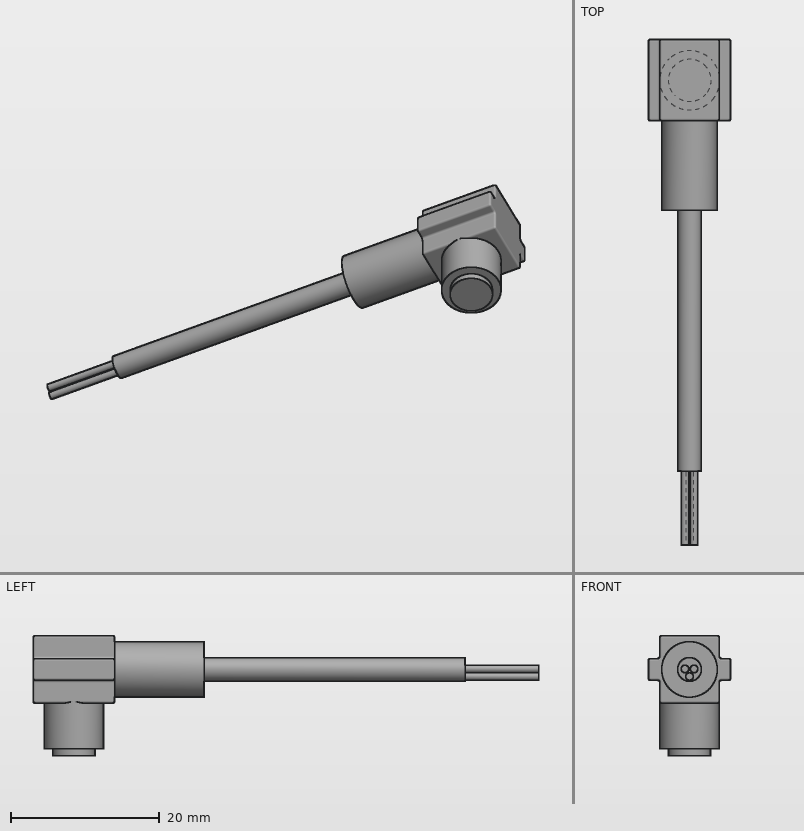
import cadquery as cq

total_length = 68.0
total_height = 16.2

body_width = 8.0
body_length = 10.95
body_height = 9.1
wing_span = 11.1
wing_height = 2.9
edge_radius = 0.3

socket_diameter = body_width
spigot_diameter = 5.7
spigot_length = 0.95

sleeve_diameter = 7.5
sleeve_end = 23.0
cable_diameter = 3.2
cable_end = 58.1
wire_diameter = 1.0
wire_side_offset = 0.6
wire_rise = 0.1
wire_drop = 0.95

body_middle = -body_length / 2
part_bottom = body_height / 2 - total_height
socket_bottom = part_bottom + spigot_length


def make_housing():
    """Block with side wings, rounded along every edge and wing root."""
    block = cq.Workplane("XY").box(body_width, body_length, body_height)
    wings = cq.Workplane("XY").box(wing_span, body_length, wing_height)
    housing = block.union(wings)
    housing = housing.edges("|Y").fillet(edge_radius)
    housing = housing.faces("<Y or >Y").edges().fillet(edge_radius)
    return housing.translate((0, body_middle, 0))


def rod_along_y(diameter, start, end, x=0, z=0):
    """Round rod between two distances from the back of the housing."""
    rod = cq.Workplane("XZ", origin=(x, -start, z)).circle(diameter / 2)
    return rod.extrude(end - start)


def rod_to_middle(diameter, bottom):
    """Upright round rod from the given bottom to the middle of the housing."""
    rod = cq.Workplane("XY", origin=(0, body_middle, bottom)).circle(diameter / 2)
    return rod.extrude(-bottom)


result = make_housing()

result = result.union(rod_to_middle(socket_diameter, socket_bottom))
result = result.union(rod_to_middle(spigot_diameter, part_bottom))

result = result.union(rod_along_y(sleeve_diameter, body_length / 2, sleeve_end))
result = result.union(rod_along_y(cable_diameter, body_length, cable_end))

wire_places = [(-wire_side_offset, wire_rise), (wire_side_offset, wire_rise), (0, -wire_drop)]
for x, z in wire_places:
    result = result.union(rod_along_y(wire_diameter, sleeve_end, total_length, x, z))